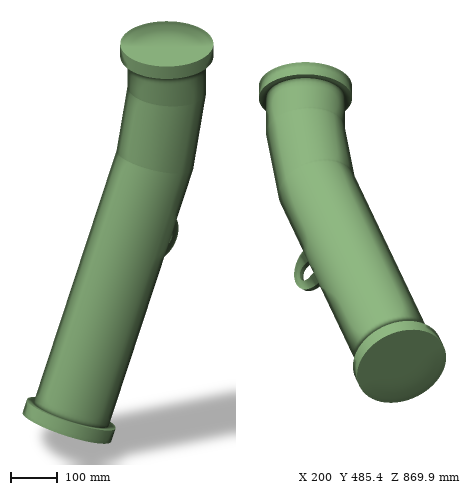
import cadquery as cq
import math

pipe_diameter = 169.0
flange_diameter = 200.0
flange_thickness = 30.5
bend_angle = 25.0
top_leg_length = 112.0
middle_leg_length = 163.0
long_leg_length = 614.0

lug_radius = 56.0
lug_thickness = 10.5
lug_distance = 169.0
lug_offset = 89.0
slot_width = 40.0
slot_end_offset = 109.0

pipe_radius = pipe_diameter / 2


def axis_direction(tilt):
    """Downward unit vector, tilted toward -Y by the given angle in degrees."""
    angle = math.radians(tilt)
    return cq.Vector(0, -math.sin(angle), -math.cos(angle))


def cylinder(start, direction, radius, length):
    return cq.Workplane(cq.Solid.makeCylinder(radius, length, start, direction))


middle_direction = axis_direction(bend_angle / 2)
long_direction = axis_direction(bend_angle)
top_centre = cq.Vector(0, 0, 0)
first_mitre = top_centre + axis_direction(0) * top_leg_length
second_mitre = first_mitre + middle_direction * middle_leg_length
bottom_centre = second_mitre + long_direction * long_leg_length

centre_line = cq.Workplane("YZ").polyline(
    [(point.y, point.z) for point in (top_centre, first_mitre, second_mitre, bottom_centre)]
)
pipe = cq.Workplane("XY").circle(pipe_radius).sweep(centre_line, transition="right")

top_flange = cylinder(top_centre, axis_direction(0), flange_diameter / 2, flange_thickness)
bottom_flange = cylinder(bottom_centre, long_direction * -1, flange_diameter / 2, flange_thickness)


def make_lug():
    """Round-ended flat lug on the +Y side, with a slot running in to the pipe."""
    angle = math.radians(bend_angle)
    outward = cq.Vector(0, math.cos(angle), -math.sin(angle))
    origin = second_mitre + long_direction * lug_distance
    base = cq.Workplane(cq.Plane(origin=origin, xDir=outward, normal=(1, 0, 0)))

    def round_ended_plate(length, radius):
        """Plate from the pipe axis out to a round end centred at the given length."""
        outline = (
            base.moveTo(0, -radius)
            .lineTo(length, -radius)
            .threePointArc((length + radius, 0), (length, radius))
            .lineTo(0, radius)
            .close()
        )
        return outline.extrude(lug_thickness / 2, both=True)

    return round_ended_plate(lug_offset, lug_radius).cut(
        round_ended_plate(slot_end_offset, slot_width / 2)
    )


result = pipe.union(top_flange).union(bottom_flange).union(make_lug())

result = result.translate((0, 0, -result.val().BoundingBox().zmin))